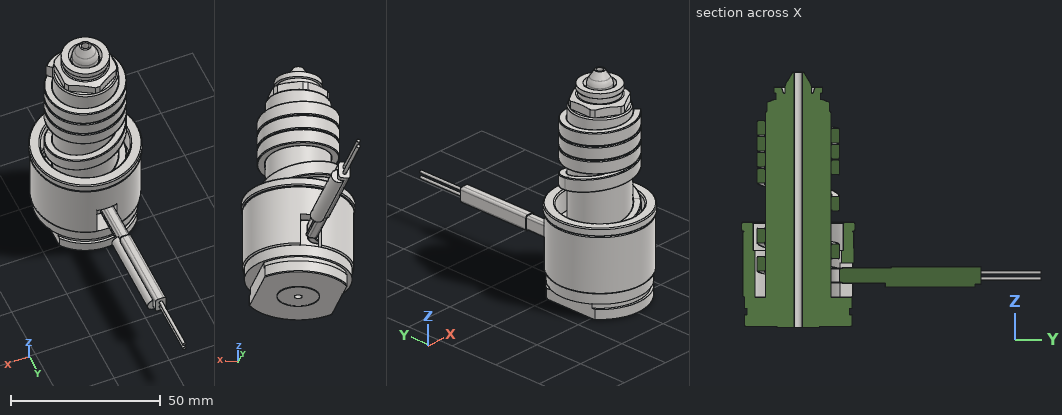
import cadquery as cq
import math

flow_hole_radius = 1.3

boss_radius = 7.1
foot_bottom = 0.3
foot_radius = 18.0
foot_chamfer = 0.3
foot_groove_radius = 17.1
foot_groove_bottom = 4.3
foot_groove_top = 6.3
foot_flat_distance = 14.1
body_bottom = 10.2
body_radius = 18.6
flange_bottom = 32.1
flange_radius = 19.0
flange_top = 35.2
body_chamfer = 0.5
flange_chamfer = 0.4

bore_radius = 15.0
lower_bore_radius = 14.4
bore_ledge = 25.8
bore_floor = 10.2
bore_chamfer = 0.5
lead_slot_width = 7.2
lead_slot_top = 21.5

core_radius = 11.0
core_top = 72.3
core_chamfer = 0.5
hex_across_flats = 19.0
hex_corner_radius = 10.5
hex_edge_top = 75.2
hex_top = 76.1
collar_radius = 8.1
neck_radius = 7.5
collar_bottom = 78.3
collar_chamfer = 0.3
collar_top = 80.2
recess_radius = 5.6
recess_depth = 2.0
recess_floor_radius = 4.9

tip_base_radius = 4.5
dome_mid_radius = 4.2
dome_mid_level = 81.4
tip_shoulder_radius = 3.5
tip_shoulder_level = 82.5
tip_end_radius = 1.9
tip_top = 85.2

coil_gap = 0.01
coil_thickness = 2.8
coil_height = 5.0
coil_chamfer = 0.3
coil_start_angle = -41.0
coil_whole_turns = 5
coil_start_level = 67.3
tight_pitch = 5.27
steep_pitch = 22.0
tight_sweep = 1093.0
blend_sweep = 140.0
steep_sweep = 206.0
coil_step_angle = 15.0
bend_step_count = 5

lead_x = -1.2
lead_level = 17.4
lead_width = 3.4
lead_height = 5.3
lead_round = 0.7
lead_bend_radius = 3.0
sleeve_width = 4.0
sleeve_height = 6.0
sleeve_round = 1.0
sleeve_start = 31.0
sleeve_length = 30.0
wire_diameter = 1.2
wire_spacing = 2.1
wire_end = 81.0

sensor_x = 0.4
sensor_level = 15.9
sensor_wire_diameter = 1.0
sensor_sleeve_diameter = 4.8
sensor_sleeve_start = 29.0
sensor_sleeve_length = 30.0


def cylinder(radius, bottom, top):
    return cq.Workplane("XY").workplane(offset=bottom).circle(radius).extrude(top - bottom)


def make_foot():
    """Grooved foot with two wrench flats, standing on a low round boss."""
    foot = cylinder(foot_radius, foot_bottom, body_bottom).faces("<Z").chamfer(foot_chamfer)
    groove = cylinder(foot_radius, foot_groove_bottom, foot_groove_top).cut(
        cylinder(foot_groove_radius, foot_groove_bottom, foot_groove_top)
    )
    flatted_band = cq.Workplane("XY").box(
        2 * foot_flat_distance, 2 * foot_radius, foot_groove_top, centered=(True, True, False)
    )
    above_flats = cylinder(foot_radius, foot_groove_top, body_bottom)
    foot = foot.cut(groove).intersect(flatted_band.union(above_flats))
    return foot.union(cylinder(boss_radius, 0, foot_bottom))


def make_housing():
    """Flanged cup with a stepped bore and a slot in its +Y wall for the heater leads."""
    body = cylinder(body_radius, body_bottom, flange_bottom).faces("<Z or >Z").chamfer(body_chamfer)
    flange = cylinder(flange_radius, flange_bottom, flange_top).faces("<Z or >Z").chamfer(flange_chamfer)
    bore = cylinder(bore_radius, bore_ledge, flange_top)
    lower_bore = cylinder(lower_bore_radius, bore_floor, bore_ledge)
    slot = (
        cq.Workplane("XY")
        .workplane(offset=bore_floor)
        .rect(lead_slot_width, flange_radius)
        .extrude(lead_slot_top - bore_floor)
        .translate((0, bore_radius, 0))
    )
    cup = body.union(flange).cut(bore)
    cup = cup.faces(">Z").edges("%CIRCLE").edges(cq.selectors.RadiusNthSelector(0)).chamfer(bore_chamfer)
    return cup.cut(lower_bore).cut(slot)


def make_hexagon():
    """Wrench hexagon with rounded-off corners and a shallow conical top."""
    hexagon = (
        cq.Workplane("XY")
        .workplane(offset=core_top)
        .polygon(6, hex_across_flats, circumscribed=True)
        .extrude(hex_top - core_top)
    )
    envelope = (
        cq.Workplane("XZ")
        .moveTo(0, core_top)
        .lineTo(hex_corner_radius, core_top)
        .lineTo(hex_corner_radius, hex_edge_top)
        .lineTo(collar_radius, hex_top)
        .lineTo(0, hex_top)
        .close()
        .revolve(360, (0, 0, 0), (0, 1, 0))
    )
    return hexagon.intersect(envelope)


def make_core():
    """Round nozzle core with the hexagon on top."""
    core = cylinder(core_radius, bore_floor, core_top).faces(">Z").chamfer(core_chamfer)
    return core.union(make_hexagon())


def make_tip():
    """Neck and collar around a domed, cone-ended nozzle tip."""
    recess_floor = collar_top - recess_depth
    return (
        cq.Workplane("XZ")
        .moveTo(0, hex_top)
        .lineTo(neck_radius, hex_top)
        .lineTo(neck_radius, collar_bottom - collar_chamfer)
        .lineTo(collar_radius, collar_bottom)
        .lineTo(collar_radius, collar_top)
        .lineTo(recess_radius, collar_top)
        .lineTo(recess_floor_radius, recess_floor)
        .lineTo(tip_base_radius, recess_floor)
        .lineTo(tip_base_radius, collar_top)
        .threePointArc((dome_mid_radius, dome_mid_level), (tip_shoulder_radius, tip_shoulder_level))
        .lineTo(tip_end_radius, tip_top)
        .lineTo(0, tip_top)
        .close()
        .revolve(360, (0, 0, 0), (0, 1, 0))
    )


def make_nozzle():
    flow_hole = cylinder(flow_hole_radius, 0, tip_top)
    return make_foot().union(make_housing()).union(make_core()).union(make_tip()).cut(flow_hole)


coil_radius = core_radius + coil_gap + coil_thickness / 2

bend_center_x = lead_x - lead_bend_radius
bend_center_distance = coil_radius + lead_bend_radius
bend_angle = math.degrees(math.acos(bend_center_x / bend_center_distance))
bend_center_y = bend_center_distance * math.sin(math.radians(bend_angle))

steep_start = tight_sweep + blend_sweep
steep_end = steep_start + steep_sweep
loose_start = steep_end + blend_sweep
coil_end = coil_start_angle - bend_angle + 360 * (coil_whole_turns + 1)

upper_blend_drop = blend_sweep * (tight_pitch + steep_pitch) / 2 / 360
tight_drop = tight_sweep * tight_pitch / 360
steep_drop = steep_sweep * steep_pitch / 360
remaining_drop = coil_start_level - lead_level - tight_drop - upper_blend_drop - steep_drop
loose_pitch = (360 * remaining_drop - blend_sweep * steep_pitch / 2) / (
    blend_sweep / 2 + coil_end - loose_start
)

pitch_stages = [
    (tight_sweep, tight_pitch, tight_pitch),
    (blend_sweep, tight_pitch, steep_pitch),
    (steep_sweep, steep_pitch, steep_pitch),
    (blend_sweep, steep_pitch, loose_pitch),
    (coil_end - loose_start, loose_pitch, loose_pitch),
]


def coil_level(turned):
    """Height of the coil centre line after turning by the given angle."""
    level = coil_start_level
    for sweep, first_pitch, last_pitch in pitch_stages:
        part = min(max(turned, 0), sweep)
        pitch_here = first_pitch + (last_pitch - first_pitch) * part / sweep
        level -= part * (first_pitch + pitch_here) / 2 / 360
        turned -= sweep
    return level


def coil_stretch(first_turned, last_turned):
    """Points down one stretch of the coil centre line, each with its outward direction in plan."""
    step_count = math.ceil((last_turned - first_turned) / coil_step_angle)
    stations = []
    for i in range(step_count + 1):
        turned = first_turned + (last_turned - first_turned) * i / step_count
        angle = math.radians(coil_start_angle - turned)
        outward = cq.Vector(math.cos(angle), math.sin(angle), 0)
        stations.append((outward * coil_radius + cq.Vector(0, 0, coil_level(turned)), outward))
    return stations


def bend_stretch():
    """The same for the level bend that leads out of the coil."""
    bend_center = cq.Vector(bend_center_x, bend_center_y, lead_level)
    stations = []
    for i in range(bend_step_count + 1):
        angle = math.radians((bend_angle - 180) * (1 - i / bend_step_count))
        from_bend_center = cq.Vector(math.cos(angle), math.sin(angle), 0)
        stations.append((bend_center + from_bend_center * lead_bend_radius, -from_bend_center))
    return stations


def bar_corners():
    """Corners of the chamfered bar section, as (outward, upward) offsets in order around it."""
    outer, upper = coil_thickness / 2, coil_height / 2
    cut_outer, cut_upper = outer - coil_chamfer, upper - coil_chamfer
    upper_half = [(outer, cut_upper), (cut_outer, upper), (-cut_outer, upper), (-outer, cut_upper)]
    return upper_half + [(-out, -up) for out, up in upper_half]


def corner_lines(stations):
    """The lines that the bar's corners follow along one stretch."""
    return [
        [point + outward * out + cq.Vector(0, 0, up) for point, outward in stations]
        for out, up in bar_corners()
    ]


def bar_sides(stations):
    edges = [cq.Edge.makeSpline(line) for line in corner_lines(stations)]
    return [cq.Face.makeRuledSurface(edges[i - 1], edges[i]) for i in range(len(edges))]


def bar_end(station):
    corners = [line[0] for line in corner_lines([station])]
    return cq.Face.makeFromWires(cq.Wire.makePolygon(corners, close=True))


def make_coil():
    """Chamfered flat bar wound around the core, with its lower end bent out to the lead."""
    stretches = []
    turned = 0
    for sweep, _, _ in pitch_stages:
        stretches.append(coil_stretch(turned, turned + sweep))
        turned += sweep
    stretches.append(bend_stretch())

    faces = [bar_end(stretches[0][0]), bar_end(stretches[-1][-1])]
    for stations in stretches:
        faces += bar_sides(stations)
    return cq.Workplane("XY").newObject([cq.Solid.makeSolid(cq.Shell.makeShell(faces))])


def bar_along_y(x, level, start, length, width, height, corner):
    return (
        cq.Workplane("XY")
        .box(width, length, height)
        .edges("|Y")
        .fillet(corner)
        .translate((x, start + length / 2, level))
    )


def rod_along_y(x, level, start, length, diameter):
    return cq.Workplane("XZ", origin=(x, start, level)).circle(diameter / 2).extrude(-length)


def make_heater():
    """Coil, flat lead, sleeve and two wires, with the sensor wire and its sleeve alongside."""
    lead_start = bend_center_y
    lead_length = sleeve_start - lead_start
    sleeve_end = sleeve_start + sleeve_length
    sensor_length = sensor_sleeve_start - lead_start

    lead = bar_along_y(lead_x, lead_level, lead_start, lead_length, lead_width, lead_height, lead_round)
    sleeve = bar_along_y(
        lead_x, lead_level, sleeve_start, sleeve_length, sleeve_width, sleeve_height, sleeve_round
    )
    heater = make_coil().union(lead).union(sleeve)
    for side in (-1, 1):
        level = lead_level + side * wire_spacing / 2
        heater = heater.union(rod_along_y(lead_x, level, sleeve_end, wire_end - sleeve_end, wire_diameter))

    sensor_wire = rod_along_y(sensor_x, sensor_level, lead_start, sensor_length, sensor_wire_diameter)
    sensor_sleeve = rod_along_y(
        sensor_x, sensor_level, sensor_sleeve_start, sensor_sleeve_length, sensor_sleeve_diameter
    )
    return heater.union(sensor_wire).union(sensor_sleeve)


nozzle = make_nozzle()
heater = make_heater()
result = cq.Compound.makeCompound([nozzle.val(), heater.val()])